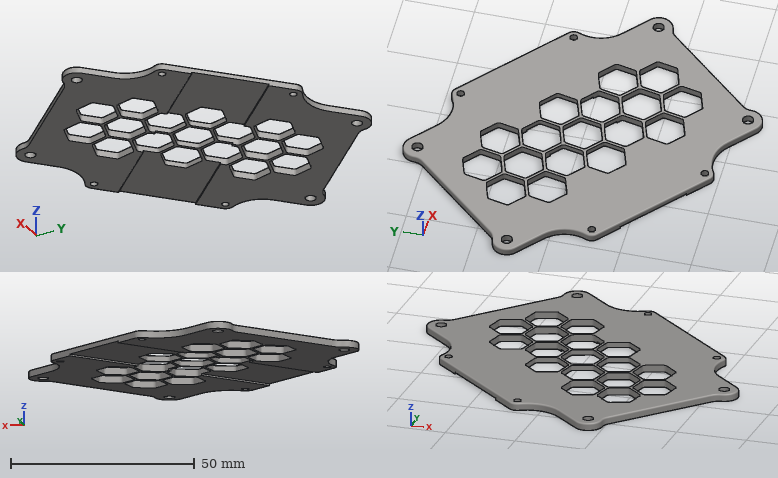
import cadquery as cq
import math

overall_length = 96.3
plate_turn = -41.9
thickness = 2.0
side_half_length = 42.1
side_half_width = 34.0
edge_round = 0.5

lobe_x = 40.05
lobe_y = 21.5
lobe_hole_diameter = 3.0
turn = math.radians(abs(plate_turn))
lobe_radius = overall_length / 2 - lobe_x * math.cos(turn) - lobe_y * math.sin(turn)
neck_radius = 3.85

shoulder_x = 18.8
shoulder_y = 31.5
shoulder_hole_diameter = 2.0
shoulder_radius = side_half_width - shoulder_y
scoop_radius = 10.0

hex_across_corners = 12.0
hex_wall = 0.89
hex_corner_radius = 1.0
hex_pitch = hex_across_corners * math.cos(math.radians(30)) + hex_wall
column_pitch = hex_pitch * math.cos(math.radians(30))
column_counts = [2, 3, 2, 3, 2, 3, 2]

channel_width = 22.0
channel_depth = 0.5


def point_between(start, end, distance):
    """Point at the given distance from start on the line towards end."""
    span = math.dist(start, end)
    return tuple(a + (b - a) * distance / span for a, b in zip(start, end))


def arc_middle(center, radius, start, end):
    """Middle point of the short arc from start to end."""
    chord_middle = ((start[0] + end[0]) / 2, (start[1] + end[1]) / 2)
    return point_between(center, chord_middle, radius)


def quarter_outline():
    """One quarter of the plate, tangent arcs and lines around the corner at +X +Y."""
    lobe = (lobe_x, lobe_y)
    shoulder = (shoulder_x, shoulder_y)
    lobe_top = lobe_y + lobe_radius

    neck_x = side_half_length + neck_radius
    neck_drop = math.sqrt((neck_radius + lobe_radius) ** 2 - (neck_x - lobe_x) ** 2)
    neck = (neck_x, lobe_y - neck_drop)
    scoop_y = lobe_top + scoop_radius
    scoop_reach = math.sqrt((scoop_radius + shoulder_radius) ** 2 - (scoop_y - shoulder_y) ** 2)
    scoop = (shoulder_x + scoop_reach, scoop_y)

    neck_start = (side_half_length, neck[1])
    neck_end = point_between(lobe, neck, lobe_radius)
    lobe_end = (lobe_x, lobe_top)
    scoop_start = (scoop[0], lobe_top)
    scoop_end = point_between(shoulder, scoop, shoulder_radius)
    shoulder_end = (shoulder_x, side_half_width)

    return (
        cq.Workplane("XY")
        .lineTo(side_half_length, 0)
        .lineTo(*neck_start)
        .threePointArc(arc_middle(neck, neck_radius, neck_start, neck_end), neck_end)
        .threePointArc((lobe_x + lobe_radius, lobe_y), lobe_end)
        .lineTo(*scoop_start)
        .threePointArc(arc_middle(scoop, scoop_radius, scoop_start, scoop_end), scoop_end)
        .threePointArc(arc_middle(shoulder, shoulder_radius, scoop_end, shoulder_end), shoulder_end)
        .lineTo(0, side_half_width)
        .close()
    )


def plate():
    quarter = quarter_outline().extrude(thickness)
    half = quarter.union(quarter.mirror("YZ"))
    body = half.union(half.mirror("XZ")).clean()
    return body.faces(">Z").fillet(edge_round)


def hole_pattern(x, y, diameter):
    """Through holes at the four mirrored positions of (x, y)."""
    centers = cq.Workplane("XY").rect(2 * x, 2 * y, forConstruction=True).vertices()
    return centers.circle(diameter / 2).extrude(thickness)


def honeycomb():
    centers = []
    for column, count in enumerate(column_counts):
        x = (column - (len(column_counts) - 1) / 2) * column_pitch
        for row in range(count):
            centers.append((x, (row - (count - 1) / 2) * hex_pitch))
    cells = cq.Workplane("XY").pushPoints(centers).polygon(6, hex_across_corners).extrude(thickness)
    return cells.edges("|Z").fillet(hex_corner_radius)


def channel():
    return cq.Workplane("XY").rect(channel_width, 2 * side_half_width).extrude(channel_depth)


result = (
    plate()
    .cut(hole_pattern(lobe_x, lobe_y, lobe_hole_diameter))
    .cut(hole_pattern(shoulder_x, shoulder_y, shoulder_hole_diameter))
    .cut(honeycomb())
    .cut(channel())
    .rotate((0, 0, 0), (0, 0, 1), plate_turn)
)